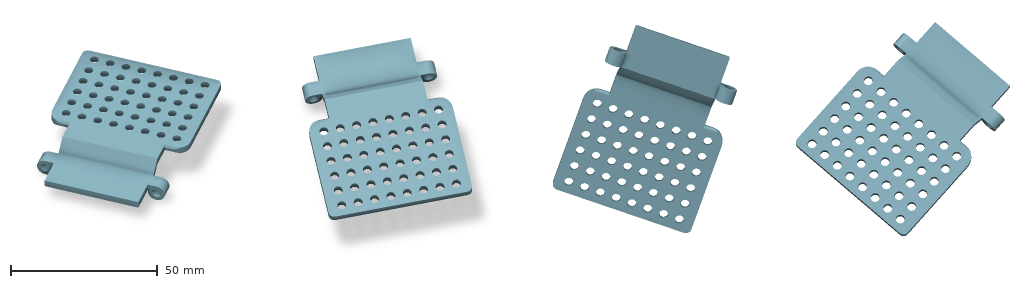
import cadquery as cq

LENGTH = 64.2
PLATE_WIDTH = 50.0
THICKNESS = 2.5

PLATE_FRONT_Y = 26.2
FRONT_CORNER_RADIUS = 5.0
REAR_CORNER_RADIUS = 2.0
FRONT_CHAMFER = 0.7
HOLE_DIAMETER = 3.0
HOLE_COLUMNS = 8
HOLE_ROWS = 6
COLUMN_PITCH = 5.7
ROW_PITCH = 5.85
FIRST_ROW_Y = 31.15

NECK_WIDTH = 34.3
TONGUE_WIDTH = 33.9
STEP_DROP = 4.0
STEP_FRONT_Y = 15.15
STEP_REAR_Y = STEP_FRONT_Y + STEP_DROP

BARREL_DIAMETER = 6.05
BARREL_BORE = 3.2
BARREL_SPACING = 40.05
BARREL_FRONT_Y = 9.6
BARREL_LENGTH = 5.15
BARREL_REAR_Y = BARREL_FRONT_Y + BARREL_LENGTH
BARREL_Z = -STEP_DROP - BARREL_DIAMETER / 2


def block(width, front_y, rear_y, top_z):
    """Slab of sheet thickness, centred on X = 0."""
    return (
        cq.Workplane("XY", origin=(0, front_y, top_z - THICKNESS))
        .box(width, rear_y - front_y, THICKNESS, centered=(True, False, False))
    )


def barrel_cylinders(diameter):
    """One cylinder along Y at each hinge barrel."""
    half_spacing = BARREL_SPACING / 2
    return (
        cq.Workplane("XZ", origin=(0, BARREL_REAR_Y, BARREL_Z))
        .pushPoints([(-half_spacing, 0), (half_spacing, 0)])
        .circle(diameter / 2)
        .extrude(BARREL_LENGTH)
    )


def make_plate():
    plate = block(PLATE_WIDTH, PLATE_FRONT_Y, LENGTH, 0)
    plate = plate.edges("|Z and <Y").fillet(FRONT_CORNER_RADIUS)
    plate = plate.edges("|Z and >Y").fillet(REAR_CORNER_RADIUS)

    bevel_rear_y = PLATE_FRONT_Y + FRONT_CHAMFER
    for face_z, inward in ((0, -1), (-THICKNESS, 1)):
        bevel = (
            cq.Workplane("YZ", origin=(-PLATE_WIDTH / 2, 0, 0))
            .moveTo(PLATE_FRONT_Y, face_z)
            .lineTo(bevel_rear_y, face_z)
            .lineTo(PLATE_FRONT_Y, face_z + inward * FRONT_CHAMFER)
            .close()
            .extrude(PLATE_WIDTH)
        )
        plate = plate.cut(bevel)

    holes = (
        cq.Workplane("XY", origin=(0, FIRST_ROW_Y + (HOLE_ROWS - 1) * ROW_PITCH / 2, -THICKNESS))
        .rarray(COLUMN_PITCH, ROW_PITCH, HOLE_COLUMNS, HOLE_ROWS)
        .circle(HOLE_DIAMETER / 2)
        .extrude(THICKNESS)
    )
    return plate.cut(holes)


def make_neck():
    neck_rear_y = PLATE_FRONT_Y + FRONT_CHAMFER
    return (
        cq.Workplane("YZ", origin=(-NECK_WIDTH / 2, 0, 0))
        .moveTo(neck_rear_y, 0)
        .lineTo(STEP_REAR_Y, 0)
        .lineTo(STEP_FRONT_Y, -STEP_DROP)
        .lineTo(BARREL_REAR_Y, -STEP_DROP)
        .lineTo(BARREL_REAR_Y, -STEP_DROP - THICKNESS)
        .lineTo(STEP_FRONT_Y, -STEP_DROP - THICKNESS)
        .lineTo(STEP_REAR_Y, -THICKNESS)
        .lineTo(neck_rear_y, -THICKNESS)
        .close()
        .extrude(NECK_WIDTH)
    )


def make_hinge():
    web = block(BARREL_SPACING, BARREL_FRONT_Y, BARREL_REAR_Y, -STEP_DROP)
    return web.union(barrel_cylinders(BARREL_DIAMETER)).cut(barrel_cylinders(BARREL_BORE))


tongue = block(TONGUE_WIDTH, 0, BARREL_REAR_Y, -STEP_DROP)
result = make_plate().union(make_neck()).union(tongue).union(make_hinge())